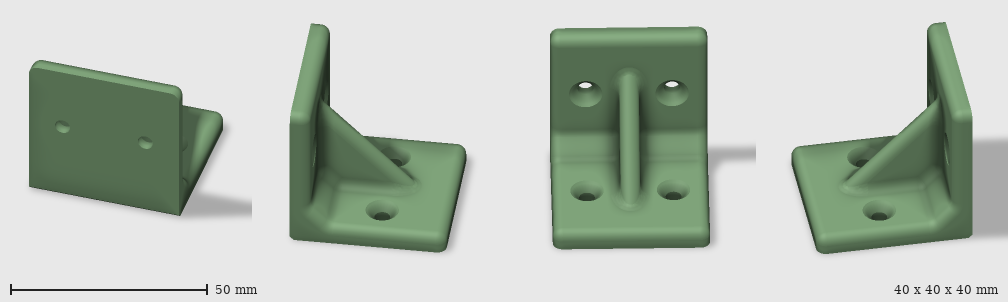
import cadquery as cq

size = 40.0
plate = 5.0
edge_radius = plate / 2
corner_chamfer = 5.0
heel_chamfer = 1.0
rib_width = plate
rib_leg = 25.0
hole_diameter = 4.0
countersink_diameter = 8.5
countersink_angle = 90.0
hole_spacing = 22.0
hole_offset = 22.5


def side_prism(points, width):
    """Extrude a Y-Z outline symmetrically about X = 0."""
    return cq.Workplane("YZ").polyline(points).close().extrude(width / 2, both=True)


def angle_plates():
    """Two plates joined by a sloped inner corner, with rounded edges."""
    slope_end = plate + corner_chamfer
    body = side_prism(
        [
            (heel_chamfer, 0),
            (size, 0),
            (size, plate),
            (slope_end, plate),
            (plate, slope_end),
            (plate, size),
            (0, size),
            (0, heel_chamfer),
        ],
        size,
    )
    for y, z in ((slope_end, plate), (plate, slope_end)):
        body = body.edges(cq.selectors.NearestToPointSelector((0, y, z))).fillet(edge_radius)
    body = body.faces(">Y").edges("|Z").fillet(edge_radius)
    body = body.faces(">Z").edges("|Y").fillet(edge_radius)
    rim_point = (size / 2, size / 2, plate)
    return body.edges(cq.selectors.NearestToPointSelector(rim_point)).fillet(edge_radius)


def rib():
    """Triangular gusset with a rounded crest, rooted inside the plates."""
    root = edge_radius
    crest_sum = 2 * plate + rib_leg
    triangle = side_prism(
        [(root, root), (crest_sum - root, root), (root, crest_sum - root)],
        rib_width,
    )
    crest_middle = (0, crest_sum / 2, crest_sum / 2)
    crest_plane = cq.Plane(origin=crest_middle, xDir=(1, 0, 0), normal=(0, -1, 1))
    half_width = rib_width / 2
    rounded_bar = (
        cq.Workplane(crest_plane)
        .moveTo(-half_width, -crest_sum)
        .lineTo(-half_width, -half_width)
        .threePointArc((0, 0), (half_width, -half_width))
        .lineTo(half_width, -crest_sum)
        .close()
        .extrude(crest_sum, both=True)
    )
    return triangle.intersect(rounded_bar)


def join_rib(body):
    """Fuse the rib and blend the seam where it meets the plates."""
    joined = body.union(rib())
    seam_point = (rib_width / 2, size / 2, plate)
    return joined.edges(cq.selectors.NearestToPointSelector(seam_point)).fillet(edge_radius)


def drill_plate(body, plane):
    """Drill a pair of countersunk holes from an inner plate face."""
    return (
        body.copyWorkplane(cq.Workplane(plane))
        .pushPoints([(-hole_spacing / 2, 0), (hole_spacing / 2, 0)])
        .cskHole(hole_diameter, countersink_diameter, countersink_angle)
    )


base_face = cq.Plane(origin=(0, hole_offset, plate), xDir=(1, 0, 0), normal=(0, 0, 1))
wall_face = cq.Plane(origin=(0, plate, hole_offset), xDir=(1, 0, 0), normal=(0, 1, 0))

bracket = join_rib(angle_plates())
bracket = drill_plate(bracket, base_face)
result = drill_plate(bracket, wall_face)